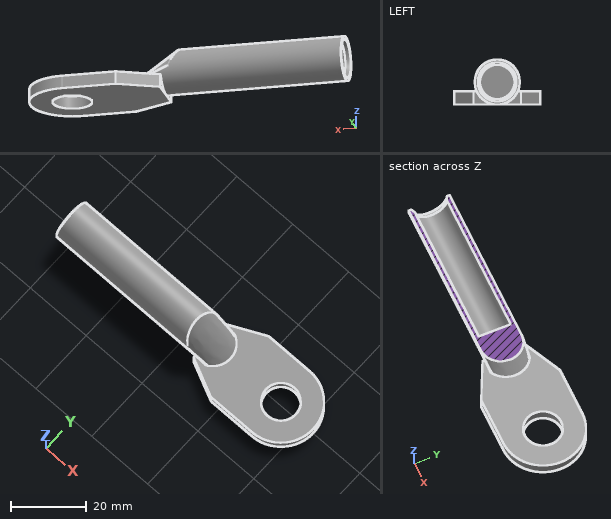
import cadquery as cq

barrel_diameter = 12.0
barrel_radius = barrel_diameter / 2
bore_radius = 4.6
bore_depth = 43.25
mouth_radius = 5.2
mouth_depth = 1.3

total_length = 86.5
palm_thickness = 3.55
palm_width = 23.0
palm_start = 49.4
neck_width = 12.6
shoulder_end = 60.3
bolt_hole_diameter = 10.55
palm_radius = palm_width / 2
palm_center = total_length - palm_radius

nose_top = 44.8
nose_side = 47.5
nose_foot_side = 53.5
nose_foot_half_width = 5.7
nose_tip = 56.9


def make_barrel():
    """Round bar trimmed by the planes where the nose begins."""
    bar = cq.Workplane("YZ").center(0, barrel_radius).circle(barrel_radius).extrude(nose_foot_side)
    envelope = (
        cq.Workplane("XZ")
        .moveTo(0, 0)
        .lineTo(nose_foot_side, 0)
        .lineTo(nose_foot_side, palm_thickness)
        .lineTo(nose_side, barrel_radius)
        .lineTo(nose_top, barrel_diameter)
        .lineTo(0, barrel_diameter)
        .close()
        .extrude(barrel_radius, both=True)
    )
    return bar.intersect(envelope)


def make_nose():
    """Ruled solid from the slanted upper half of the barrel to an arc on the palm."""
    rise = barrel_diameter - barrel_radius
    slant = cq.Vector(nose_top - nose_side, 0, rise)
    side_point = cq.Vector(nose_side, barrel_radius, barrel_radius)
    opposite_point = cq.Vector(nose_side, -barrel_radius, barrel_radius)
    upper_arc = cq.Edge.makeEllipse(
        slant.Length,
        barrel_radius,
        cq.Vector(nose_side, 0, barrel_radius),
        cq.Vector(0, 1, 0).cross(slant),
        slant,
        -90,
        90,
    )
    upper_chord = cq.Edge.makeLine(opposite_point, side_point)

    foot_left = cq.Vector(nose_foot_side, nose_foot_half_width, palm_thickness)
    foot_right = cq.Vector(nose_foot_side, -nose_foot_half_width, palm_thickness)
    foot_tip = cq.Vector(nose_tip, 0, palm_thickness)
    foot_arc = cq.Edge.makeThreePointArc(foot_left, foot_tip, foot_right)
    foot_chord = cq.Edge.makeLine(foot_right, foot_left)

    faces = [
        cq.Face.makeRuledSurface(upper_arc, foot_arc),
        cq.Face.makeRuledSurface(upper_chord, foot_chord),
        cq.Face.makeFromWires(cq.Wire.assembleEdges([upper_arc, upper_chord])),
        cq.Face.makeFromWires(cq.Wire.assembleEdges([foot_arc, foot_chord])),
    ]
    return cq.Workplane(cq.Solid.makeSolid(cq.Shell.makeShell(faces)).fix())


def make_palm():
    """Flat plate with tapered shoulders, a round end and a bolt hole."""
    plate = (
        cq.Workplane("XY")
        .moveTo(palm_start, -neck_width / 2)
        .lineTo(shoulder_end, -palm_radius)
        .lineTo(palm_center, -palm_radius)
        .threePointArc((total_length, 0), (palm_center, palm_radius))
        .lineTo(shoulder_end, palm_radius)
        .lineTo(palm_start, neck_width / 2)
        .close()
        .extrude(palm_thickness)
    )
    hole = cq.Workplane("XY").center(palm_center, 0).circle(bolt_hole_diameter / 2).extrude(palm_thickness)
    return plate.cut(hole)


def make_bore():
    """Blind wire bore with a conical lead-in at the mouth."""
    axis = cq.Vector(1, 0, 0)
    mouth = cq.Vector(0, 0, barrel_radius)
    hole = cq.Solid.makeCylinder(bore_radius, bore_depth, mouth, axis)
    lead_in = cq.Solid.makeCone(mouth_radius, bore_radius, mouth_depth, mouth, axis)
    return cq.Workplane(hole).union(cq.Workplane(lead_in))


result = make_barrel().union(make_nose()).union(make_palm()).cut(make_bore())